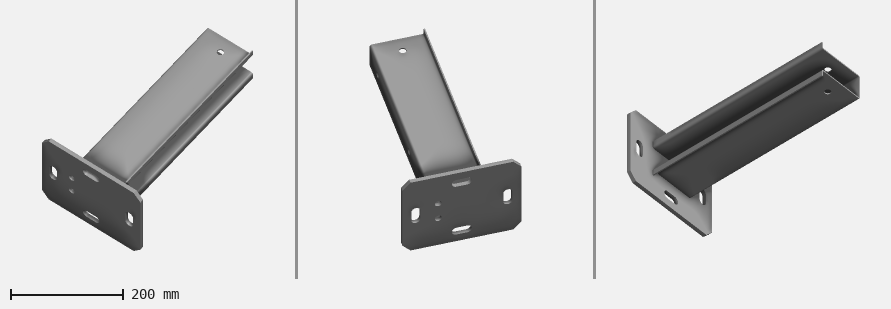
import cadquery as cq

plate_width = 220.0
plate_height = 170.0
plate_thickness = 8.0
corner_cut_x = 15.0
corner_cut_z = 16.0

slot_length = 37.0
slot_width = 17.0
slot_edge_offset = 25.0

plate_hole_diameter = 13.0
plate_hole_spacing = 37.0

beam_length = 400.0
web_x = -52.5
lip_x = 50.0
web_height = 55.0
lip_span = 80.0
sheet_thickness = 2.5
inner_bend_radius = 2.0
outer_bend_radius = inner_bend_radius + sheet_thickness

beam_hole_diameter = 13.0
web_hole_end_distance = 50.0
web_hole_pitch = 200.0
wall_hole_end_distance = 30.0

plate_hole_x = web_x + sheet_thickness + plate_hole_diameter / 2

plate_back_y = plate_thickness
beam_end_y = plate_back_y + beam_length


def xz_plane(y):
    """Plane at the given Y with local x along X, local y along Z and normal along -Y."""
    return cq.Workplane("XZ", origin=(0, y, 0))


def make_plate():
    half_width = plate_width / 2
    half_height = plate_height / 2
    plate = (
        xz_plane(0)
        .moveTo(-half_width + corner_cut_x, -half_height)
        .lineTo(half_width - corner_cut_x, -half_height)
        .lineTo(half_width, -half_height + corner_cut_z)
        .lineTo(half_width, half_height - corner_cut_z)
        .lineTo(half_width - corner_cut_x, half_height)
        .lineTo(-half_width + corner_cut_x, half_height)
        .lineTo(-half_width, half_height - corner_cut_z)
        .lineTo(-half_width, -half_height + corner_cut_z)
        .close()
        .extrude(-plate_thickness)
    )

    slot_x = half_width - slot_edge_offset
    slot_z = half_height - slot_edge_offset
    side_slots = (
        xz_plane(0)
        .pushPoints([(-slot_x, 0), (slot_x, 0)])
        .slot2D(slot_length, slot_width, 90)
        .extrude(-plate_thickness)
    )
    end_slots = (
        xz_plane(0)
        .pushPoints([(0, -slot_z), (0, slot_z)])
        .slot2D(slot_length, slot_width)
        .extrude(-plate_thickness)
    )
    round_holes = (
        xz_plane(0)
        .pushPoints([(plate_hole_x, side * plate_hole_spacing / 2) for side in (-1, 1)])
        .circle(plate_hole_diameter / 2)
        .extrude(-plate_thickness)
    )
    return plate.cut(side_slots).cut(end_slots).cut(round_holes)


def bend_edges(upper_corners):
    """Selector for the lengthwise edges at the given (x, z) corners and their mirrors below Z = 0."""
    middle_y = plate_back_y + beam_length / 2
    selector = None
    for x, z in upper_corners:
        for side in (-1, 1):
            nearest = cq.selectors.NearestToPointSelector((x, middle_y, side * z))
            selector = nearest if selector is None else selector + nearest
    return selector


def make_hat_section():
    """Folded sheet: web, two side walls and two outward lips, with rounded bends."""
    wall_z = web_height / 2
    lip_z = lip_span / 2
    inner_web_x = web_x + sheet_thickness
    inner_wall_z = wall_z - sheet_thickness
    lip_back_x = lip_x - sheet_thickness

    section = (
        xz_plane(plate_back_y)
        .moveTo(web_x, -wall_z)
        .lineTo(lip_back_x, -wall_z)
        .lineTo(lip_back_x, -lip_z)
        .lineTo(lip_x, -lip_z)
        .lineTo(lip_x, -inner_wall_z)
        .lineTo(inner_web_x, -inner_wall_z)
        .lineTo(inner_web_x, inner_wall_z)
        .lineTo(lip_x, inner_wall_z)
        .lineTo(lip_x, lip_z)
        .lineTo(lip_back_x, lip_z)
        .lineTo(lip_back_x, wall_z)
        .lineTo(web_x, wall_z)
        .close()
        .extrude(-beam_length)
    )

    outer_bends = bend_edges([(web_x, wall_z), (lip_x, inner_wall_z)])
    inner_bends = bend_edges([(inner_web_x, inner_wall_z), (lip_back_x, wall_z)])
    section = section.edges(outer_bends).fillet(outer_bend_radius)
    return section.edges(inner_bends).fillet(inner_bend_radius)


def make_beam():
    beam = make_hat_section()
    first_web_hole_y = beam_end_y - web_hole_end_distance
    web_holes = (
        cq.Workplane("YZ")
        .pushPoints([(first_web_hole_y, 0), (first_web_hole_y - web_hole_pitch, 0)])
        .circle(beam_hole_diameter / 2)
        .extrude(web_x)
    )
    wall_hole = (
        cq.Workplane("XY")
        .center(0, beam_end_y - wall_hole_end_distance)
        .circle(beam_hole_diameter / 2)
        .extrude(web_height, both=True)
    )
    return beam.cut(web_holes).cut(wall_hole)


base_plate = make_plate()
beam = make_beam()

result = cq.Compound.makeCompound([base_plate.val(), beam.val()])